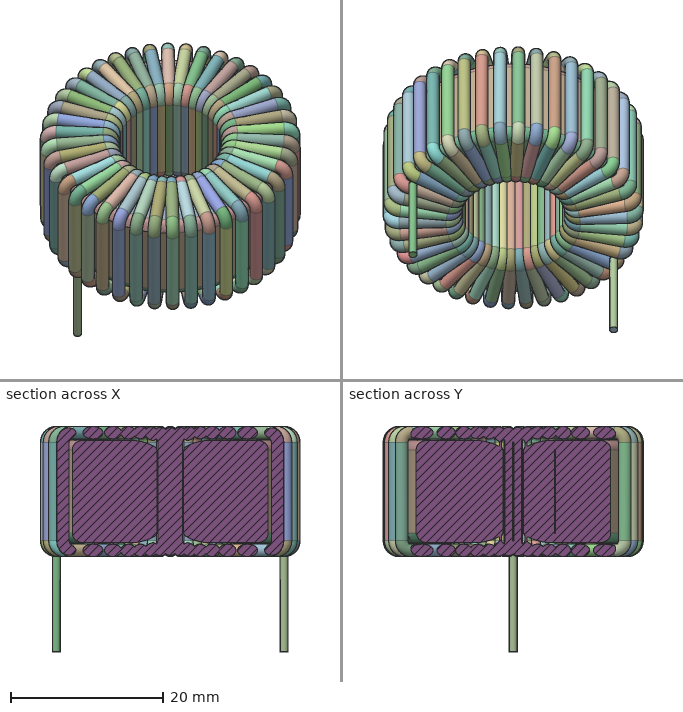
import cadquery as cq
import math

TURNS = 42
WIRE_DIAMETER = 1.68
COIL_DIAMETER = 34.19
COIL_BORE = 13.4
COIL_HEIGHT = 17.13
BEND_RADIUS = 1.27

CORE_DIAMETER = 30.48
CORE_HEIGHT = 13.5
CORE_FILLET = 1.27
CORE_BITE = 0.1

PIN_DIAMETER = 1.07
PIN_DROP = 12.5
PIN_EMBED = 0.45

WIRE_RADIUS = WIRE_DIAMETER / 2
PITCH_ANGLE = 360 / TURNS
OUTER_LEG_RADIUS = COIL_DIAMETER / 2 - WIRE_RADIUS
INNER_LEG_RADIUS = COIL_BORE / 2 + WIRE_RADIUS
MID_HEIGHT = COIL_HEIGHT / 2

PIN_OFFSET = (OUTER_LEG_RADIUS - BEND_RADIUS) * math.cos(math.radians(PITCH_ANGLE / 2))


def make_loop():
    """One closed wire loop in the XZ plane, standing on z = 0, cut to its own angular sector.

    The inner legs are closer together than the wire is thick, so neighbouring loops
    meet on the sector planes.
    """
    half_width = (OUTER_LEG_RADIUS - INNER_LEG_RADIUS) / 2
    half_height = MID_HEIGHT - WIRE_RADIUS
    loop_centre = (OUTER_LEG_RADIUS + INNER_LEG_RADIUS) / 2
    half_straight = half_width - BEND_RADIUS
    half_leg = half_height - BEND_RADIUS
    diagonal = BEND_RADIUS * math.sqrt(0.5)

    path = (
        cq.Workplane("XZ", origin=(loop_centre, 0, MID_HEIGHT))
        .moveTo(-half_straight, half_height)
        .lineTo(half_straight, half_height)
        .threePointArc((half_straight + diagonal, half_leg + diagonal), (half_width, half_leg))
        .lineTo(half_width, -half_leg)
        .threePointArc((half_straight + diagonal, -half_leg - diagonal), (half_straight, -half_height))
        .lineTo(-half_straight, -half_height)
        .threePointArc((-half_straight - diagonal, -half_leg - diagonal), (-half_width, -half_leg))
        .lineTo(-half_width, half_leg)
        .threePointArc((-half_straight - diagonal, half_leg + diagonal), (-half_straight, half_height))
    )
    loop = (
        cq.Workplane("YZ", origin=(loop_centre - half_straight, 0, MID_HEIGHT + half_height))
        .circle(WIRE_RADIUS)
        .sweep(path)
    )

    sector_length = COIL_DIAMETER
    half_sector_width = sector_length * math.tan(math.radians(PITCH_ANGLE / 2))
    sector = (
        cq.Workplane("XY")
        .polyline([(0, 0), (sector_length, -half_sector_width), (sector_length, half_sector_width)])
        .close()
        .extrude(COIL_HEIGHT)
    )
    return loop.intersect(sector).val()


def make_core():
    """Ring with rounded rims, centred in the height of the winding."""
    bore_radius = INNER_LEG_RADIUS + WIRE_RADIUS - CORE_BITE
    return (
        cq.Workplane("XY", origin=(0, 0, MID_HEIGHT - CORE_HEIGHT / 2))
        .circle(CORE_DIAMETER / 2)
        .circle(bore_radius)
        .extrude(CORE_HEIGHT)
        .edges()
        .fillet(CORE_FILLET)
        .val()
    )


def make_pin(y):
    """Vertical lead at x = 0, ending inside the two loops beside it."""
    return (
        cq.Workplane("XY", origin=(0, y, -PIN_DROP))
        .circle(PIN_DIAMETER / 2)
        .extrude(PIN_DROP + PIN_EMBED)
        .val()
    )


first_loop = make_loop()
loops = [first_loop.rotate((0, 0, 0), (0, 0, 1), turn * PITCH_ANGLE) for turn in range(TURNS)]
pins = [make_pin(side * PIN_OFFSET) for side in (-1, 1)]

winding = loops[0].fuse(*loops[1:], glue=True)
part = winding.fuse(make_core()).fuse(*pins)
result = cq.Workplane("XY").newObject(part.Solids())